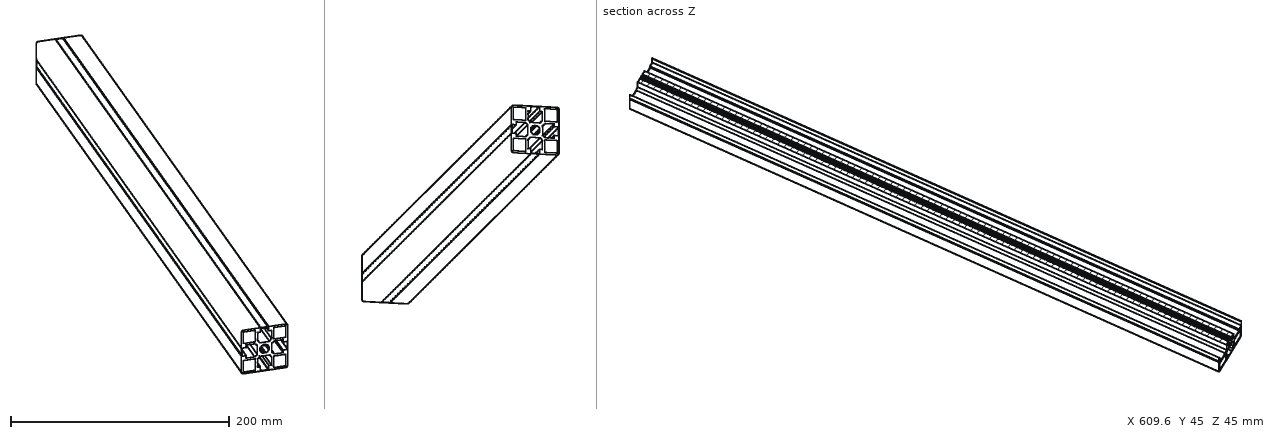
import cadquery as cq

LENGTH = 609.6
SIDE = 45.0
HALF_SIDE = SIDE / 2
CORNER_RADIUS = 2.5

HOLLOW_WALL = 1.9
HOLLOW_INNER = 8.8
HOLLOW_RADIUS = 0.6

SLOT_FLOOR = 7.0
SLOT_FLOOR_WIDTH = 9.4
SLOT_WIDTH = 13.4
SLOT_CHAMFER_HEIGHT = 2.6
MOUTH_WIDTH = 8.3
LIP_THICKNESS = 4.7
COVER_THICKNESS = 0.7

NOTCH_WIDTH = 0.8
NOTCH_PEAK_INSET = 0.1
NOTCH_SKIN = 0.2

BORE_RADIUS = 4.35
RIB_TIP_RADIUS = 3.4
RIB_WIDTH = 1.4

SIDES = 4


def around_axis(solid):
    """The copies of a solid on all four sides of the section."""
    return [solid.rotate((0, 0, 0), (1, 0, 0), 360 / SIDES * i) for i in range(SIDES)]


def make_blank():
    return cq.Workplane("YZ").rect(SIDE, SIDE).extrude(LENGTH).edges("|X").fillet(CORNER_RADIUS)


def make_corner_hollow():
    size = HALF_SIDE - HOLLOW_WALL - HOLLOW_INNER
    centre = HOLLOW_INNER + size / 2
    hollow = cq.Workplane("YZ").center(centre, centre).rect(size, size).extrude(LENGTH)
    return hollow.edges("|X").fillet(HOLLOW_RADIUS)


def make_slot():
    """The covered slot on the +Z side, with a notch at each edge of its cover."""
    mouth_half = MOUTH_WIDTH / 2
    slot_half = SLOT_WIDTH / 2
    lip_height = HALF_SIDE - LIP_THICKNESS
    cover_height = HALF_SIDE - COVER_THICKNESS
    right_half = [
        (SLOT_FLOOR_WIDTH / 2, SLOT_FLOOR),
        (slot_half, SLOT_FLOOR + SLOT_CHAMFER_HEIGHT),
        (slot_half, lip_height),
        (mouth_half, lip_height),
        (mouth_half, cover_height),
        (mouth_half - NOTCH_PEAK_INSET, HALF_SIDE - NOTCH_SKIN),
        (mouth_half - NOTCH_WIDTH, cover_height),
    ]
    left_half = [(-y, z) for y, z in reversed(right_half)]
    return cq.Workplane("YZ").polyline(right_half + left_half).close().extrude(LENGTH)


def make_bore():
    """The core bore, narrowed by one rib on each side."""
    bore = cq.Workplane("YZ").circle(BORE_RADIUS).extrude(LENGTH)
    rib_height = 2 * (BORE_RADIUS - RIB_TIP_RADIUS)
    rib = cq.Workplane("YZ").center(0, BORE_RADIUS).rect(RIB_WIDTH, rib_height).extrude(LENGTH)
    for side_rib in around_axis(rib):
        bore = bore.cut(side_rib)
    return bore


result = make_blank()
for void in around_axis(make_corner_hollow()) + around_axis(make_slot()):
    result = result.cut(void)
result = result.cut(make_bore())